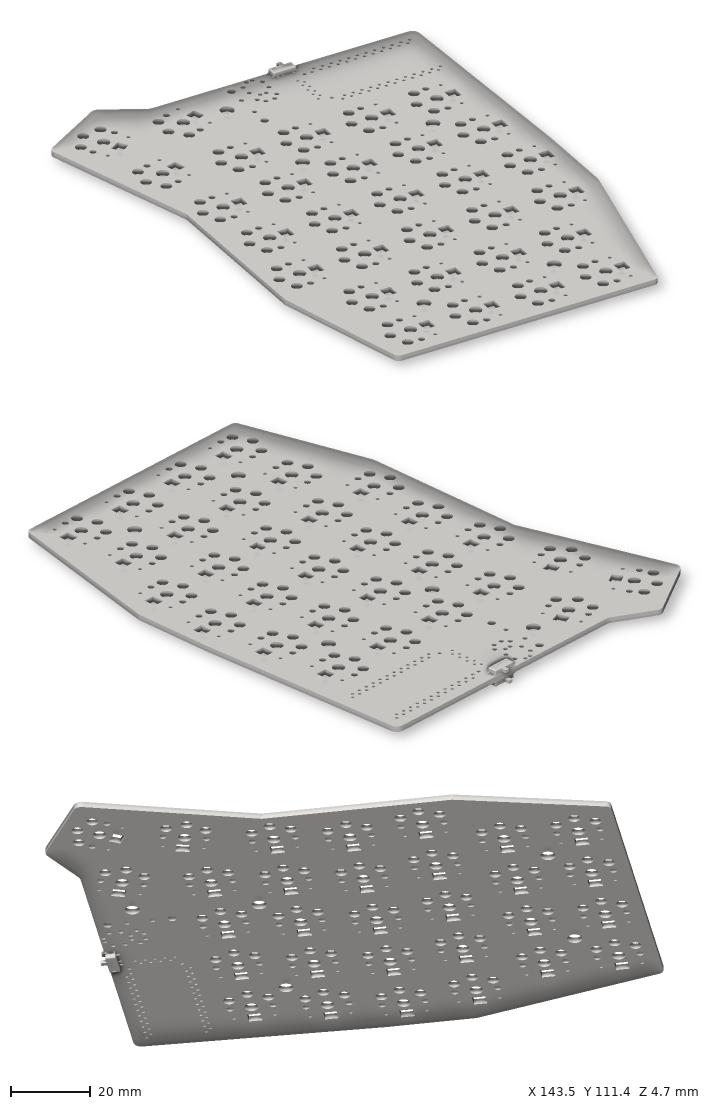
import cadquery as cq
import math

board_thickness = 1.6
board_half_thickness = board_thickness / 2
board_left = -65.2
board_right = 71.74
board_top = 55.705
board_flat_bottom = -42.38
left_corner_radius = 2.0
right_corner_radius = 1.5
waist_radius = 3.0

outline_corners = [
    ((board_left, 53.38), left_corner_radius),
    ((-1.5, board_top), 0),
    ((21.8, board_top), 0),
    ((board_right, 43.9), right_corner_radius),
    ((board_right, -32.2), right_corner_radius),
    ((33.15, board_flat_bottom), 0),
    ((-15.5, board_flat_bottom), 0),
    ((-60.43, -56.08), left_corner_radius),
    ((-72.04, -36.4), left_corner_radius),
    ((board_left, -24.0), waist_radius),
]

key_pitch = 19.0
column_stagger = 2.475
first_column_x = -33.15
tallest_column_y = 45.82
outer_column_y = 34.35

columns = [
    (tallest_column_y - 2 * column_stagger, 4),
    (tallest_column_y - column_stagger, 5),
    (tallest_column_y, 5),
    (tallest_column_y - column_stagger, 5),
    (outer_column_y, 4),
    (outer_column_y, 4),
]

thumb_keys = [
    (-55.15, -20.13, 20),
    (-36.1, -37.38, 15),
    (-56.95, -42.33, -60),
]

key_center_diameter = 3.4
key_side_diameter = 1.8
key_side_offset = 5.5
key_clip_diameter = 1.0
key_clip_offset = (5.22, 4.2)
key_socket_diameter = 3.0
key_socket_offset = (5.0, -3.75)
key_bottom_offset = -5.9
lamp_window = (3.5, 3.1)
lamp_window_offset = 4.7

mount_diameter = 3.8
mount_spacing = 2 * key_pitch
upper_mount_points = [(-23.05, 33.8), (52.35, 24.85)]
thumb_mount_point = (-54.85, -7.55)

pin_pitch = 2.54
controller_pin_diameter = 0.9
battery_pin_diameter = 1.0
display_pin_diameter = 0.8
controller_pins = 12
controller_row_spacing = 15.24
controller_left_x = -61.52
controller_top_y = 49.62
reverse_shift = pin_pitch / 2
battery_y = 18.25
battery_pins_x = (-60.25, -46.75)
display_pins = 4
display_left_x = -56.97
display_y = 16.3
display_reverse_pins = 5

jack_x = -64.2
jack_y = 4.42
jack_pin_diameter = 1.3
jack_pin_columns = (1.78, 4.85, 8.77)
jack_pin_offset = 2.85
jack_tip_column = 10.4
jack_tip_offset = 1.3
jack_peg_diameter = 1.2
jack_peg_columns = (0.0, 6.95)
jack_peg_offset = 0.86

reset_x = -53.9
reset_y = -2.0
reset_pin_spacing = 6.5
reset_pin_diameter = 1.3
reset_post_spacing = 16.5
reset_post_diameter = 2.2

total_height = 4.7
slide_y = 13.8
slide_back_x = -62.38
slide_depth = 2.7
slide_length = 6.7
slide_front_x = slide_back_x - slide_depth
slide_height = total_height / 2 - board_half_thickness
slide_edge_radius = 0.3

panel_depth = 0.1
panel_length = 1.0
panel_width = 5.5

lever_length = 1.5
lever_width = 1.2
lever_height = 0.9
lever_gap = 0.5
lever_bottom = board_half_thickness + lever_gap
lever_slot_height = 0.35
lever_slot_depth = 0.3

terminal_offsets = (2.25, -0.75, -2.25)
terminal_length = 0.8
terminal_width = 0.4
foot_height = 0.3

tab_reach = 0.4
tab_width = 0.5
undercut_depth = 0.2


def rounded_outline(corners):
    """Closed wire through the corners, with an arc at each corner that has a radius."""
    edges = []
    stops = []
    for i, (corner, radius) in enumerate(corners):
        point = cq.Vector(*corner)
        if radius == 0:
            stops.append((point, None, point))
            continue
        to_previous = (cq.Vector(*corners[i - 1][0]) - point).normalized()
        to_next = (cq.Vector(*corners[(i + 1) % len(corners)][0]) - point).normalized()
        half_angle = to_previous.getAngle(to_next) / 2
        tangent = radius / math.tan(half_angle)
        bisector = (to_previous + to_next).normalized()
        middle = point + bisector * (radius / math.sin(half_angle) - radius)
        stops.append((point + to_previous * tangent, middle, point + to_next * tangent))
    for i, (start, middle, end) in enumerate(stops):
        if middle is not None:
            edges.append(cq.Edge.makeThreePointArc(start, middle, end))
        edges.append(cq.Edge.makeLine(end, stops[(i + 1) % len(stops)][0]))
    return cq.Wire.assembleEdges(edges)


def circle(x, y, diameter):
    return cq.Wire.makeCircle(diameter / 2, cq.Vector(x, y, 0), cq.Vector(0, 0, 1))


def key_cutouts(x, y, turn):
    """Openings of one key switch centred at (x, y) and turned about its centre."""
    clip_x, clip_y = key_clip_offset
    socket_x, socket_y = key_socket_offset
    window_x, window_y = lamp_window
    openings = [circle(0, 0, key_center_diameter), circle(0, key_bottom_offset, key_socket_diameter)]
    for side in (-1, 1):
        openings.append(circle(side * key_side_offset, 0, key_side_diameter))
        openings.append(circle(side * clip_x, clip_y, key_clip_diameter))
        openings.append(circle(side * socket_x, socket_y, key_socket_diameter))
    window = cq.Workplane().center(0, lamp_window_offset).rect(window_x, window_y)
    openings.append(window.val())
    place = cq.Location(cq.Vector(x, y, 0), cq.Vector(0, 0, 1), turn)
    return [opening.moved(place) for opening in openings]


def all_key_cutouts():
    openings = []
    for column, (top_y, count) in enumerate(columns):
        for row in range(count):
            openings += key_cutouts(first_column_x + column * key_pitch, top_y - row * key_pitch, 0)
    for x, y, turn in thumb_keys:
        openings += key_cutouts(x, y, turn)
    return openings


def mount_holes():
    points = [thumb_mount_point]
    for x, y in upper_mount_points:
        points += [(x, y), (x, y - mount_spacing)]
    return [circle(x, y, mount_diameter) for x, y in points]


def controller_holes():
    """Two pairs of pin rows: one pair for each way up of the controller."""
    openings = []
    for shift in (0, reverse_shift):
        for row_x in (0, controller_row_spacing):
            for pin in range(controller_pins):
                x = controller_left_x + row_x + shift
                y = controller_top_y - shift - pin * pin_pitch
                openings.append(circle(x, y, controller_pin_diameter))
    return openings


def battery_and_display_holes():
    openings = [circle(x, battery_y, battery_pin_diameter) for x in battery_pins_x]
    for pin in range(display_pins):
        openings.append(circle(display_left_x + pin * pin_pitch, display_y, display_pin_diameter))
    for pin in range(display_reverse_pins):
        x = display_left_x - reverse_shift + pin * pin_pitch
        openings.append(circle(x, display_y - reverse_shift, display_pin_diameter))
    return openings


def jack_holes():
    openings = []
    for side in (-1, 1):
        for column in jack_pin_columns:
            openings.append(circle(jack_x + column, jack_y + side * jack_pin_offset, jack_pin_diameter))
        openings.append(circle(jack_x + jack_tip_column, jack_y + side * jack_tip_offset, jack_pin_diameter))
        for column in jack_peg_columns:
            openings.append(circle(jack_x + column, jack_y + side * jack_peg_offset, jack_peg_diameter))
    return openings


def reset_holes():
    openings = []
    for side in (-1, 1):
        openings.append(circle(reset_x + side * reset_pin_spacing / 2, reset_y, reset_pin_diameter))
        openings.append(circle(reset_x + side * reset_post_spacing / 2, reset_y, reset_post_diameter))
    return openings


def make_board():
    openings = (
        all_key_cutouts()
        + mount_holes()
        + controller_holes()
        + battery_and_display_holes()
        + jack_holes()
        + reset_holes()
    )
    outline = rounded_outline(outline_corners)
    solid = cq.Solid.extrudeLinear(outline, openings, cq.Vector(0, 0, board_thickness))
    return cq.Workplane(solid.moved(cq.Location(cq.Vector(0, 0, -board_half_thickness))))


def block(x, y, length, width, height, bottom=board_half_thickness):
    """Box from x to x + length, centred on y, standing on the given height."""
    box = cq.Workplane().box(length, width, height, centered=(False, True, False))
    return box.translate((x, y, bottom))


def make_slide_body():
    """Rounded case with a sunken panel on top, a lever slot in front and undercut ends."""
    body = block(slide_front_x, slide_y, slide_depth, slide_length, slide_height)
    body = body.edges("|Z or >Z").fillet(slide_edge_radius)

    panel_x = slide_front_x + (slide_depth - panel_length) / 2
    panel_bottom = board_half_thickness + slide_height - panel_depth
    body = body.cut(block(panel_x, slide_y, panel_length, panel_width, panel_depth, panel_bottom))

    slot_bottom = lever_bottom + (lever_height - lever_slot_height) / 2
    slot_width = 2 * lever_width
    body = body.cut(
        block(slide_front_x, slide_y, lever_slot_depth, slot_width, lever_slot_height, slot_bottom)
    )

    undercut_y = (slide_length - undercut_depth) / 2
    undercut_length = slide_depth - 2 * tab_width
    for side in (-1, 1):
        undercut = block(
            slide_front_x + tab_width,
            slide_y + side * undercut_y,
            undercut_length,
            undercut_depth,
            foot_height,
        )
        body = body.cut(undercut)
    return body


def make_slide_switch():
    """Slide switch on top of the board, with its lever over the board edge."""
    switch = make_slide_body()

    lever_back = lever_length + lever_slot_depth
    lever_x = slide_front_x - lever_length
    lever_y = slide_y + lever_width / 2
    switch = switch.union(block(lever_x, lever_y, lever_back, lever_width, lever_height, lever_bottom))

    for offset in terminal_offsets:
        terminal_y = slide_y + offset
        switch = switch.union(
            block(slide_back_x, terminal_y, terminal_length, terminal_width, foot_height)
        )

    tab_span = slide_length + 2 * tab_reach
    for tab_x in (slide_front_x, slide_back_x - tab_width):
        switch = switch.union(block(tab_x, slide_y, tab_width, tab_span, foot_height))
    return switch.solids()


board = make_board()
top_switch = make_slide_switch()
bottom_switch = top_switch.rotate((0, slide_y, 0), (1, slide_y, 0), 180)

result = cq.Compound.makeCompound([board.val(), top_switch.val(), bottom_switch.val()])